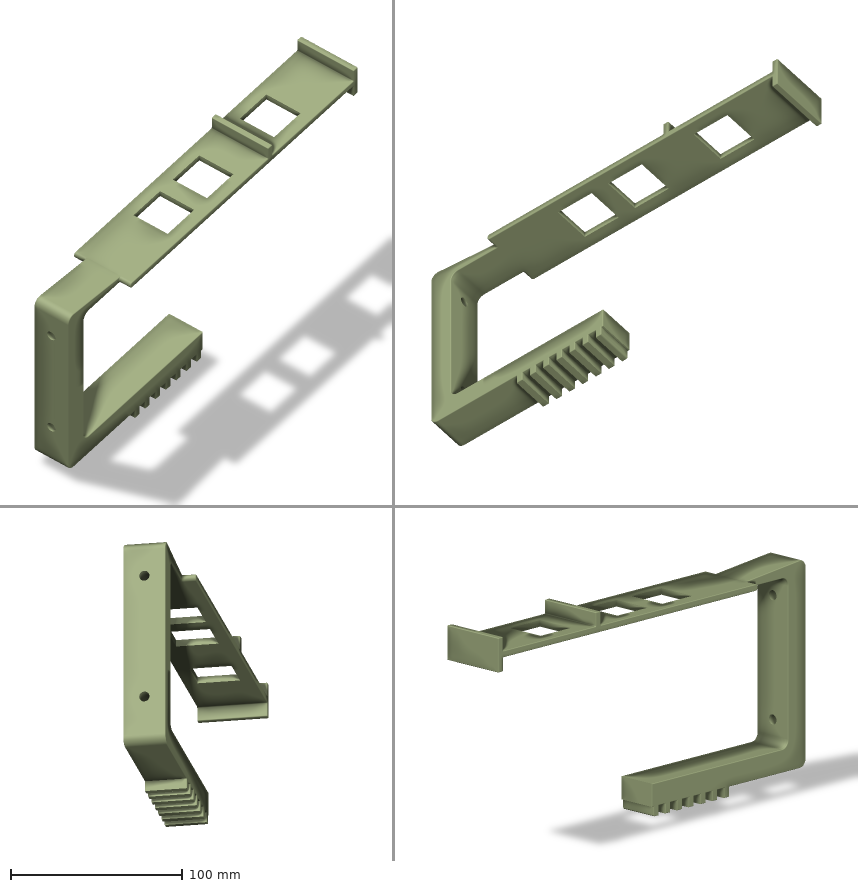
import cadquery as cq

length = 265.5
height = 136.0

strip_width = 42.0
strip_thickness = 4.0
rib_height = 8.5
strip_top = height - rib_height
strip_bottom = strip_top - strip_thickness
strip_front = 48.5
plate_thickness = 4.0
plate_height = strip_thickness + 2 * rib_height
rib_thickness = 4.0
rib_rear = 184.0
front_radius = 1.9
tab_length = 4.0
tab_end = strip_front - tab_length
neck_radius = 1.3
edge_radius = 0.5

window_size = 25.2
window_centers = (107.5, 145.0, 209.0)

bracket_width = 25.2
column_thickness = 15.0
arm_length = 128.5
arm_bottom = 6.0
arm_top = 20.2
wedge_top = 132.2
wedge_start = strip_front + front_radius
outer_radius = 5.0
inner_radius = 5.0

tooth_count = 7
tooth_width = 4.2
tooth_pitch = 9.8
first_tooth_setback = 1.3
tooth_tip_radius = 1.0

hole_diameter = 6.0
hole_heights = (35.0, 110.2)

margin = 0.3
inner_width = strip_width - 4 * edge_radius


def block(width, y_min, y_max, z_min, z_max):
    """Box centred on X = 0 between the given Y and Z limits."""
    box = cq.Workplane("XY").box(width, y_max - y_min, z_max - z_min, centered=(True, False, False))
    return box.translate((0, y_min, z_min))


def front_region(width, y_min, y_max):
    """Selector for strip edges whose centre is within the given width and Y limits."""
    low = (-width / 2, y_min, strip_bottom - edge_radius)
    high = (width / 2, y_max, strip_top + edge_radius)
    return cq.selectors.BoxSelector(low, high)


def make_strip():
    strip = block(strip_width, strip_front, length, strip_bottom, strip_top)
    strip = strip.union(block(bracket_width, tab_end, length, strip_bottom, strip_top))
    neck_corners = front_region(bracket_width + margin, strip_front - margin, strip_front + margin)
    strip = strip.edges("|Z").edges(neck_corners).fillet(neck_radius)
    front_edges = front_region(inner_width, tab_end + margin, strip_front + margin)
    strip = strip.edges("#Z").edges(front_edges).fillet(front_radius)

    end_plate = block(strip_width, length - plate_thickness, length, height - plate_height, height)
    rib = block(strip_width, rib_rear - rib_thickness, rib_rear, strip_bottom, height)
    strip = strip.union(end_plate).union(rib)

    front_seams = front_region(inner_width, tab_end - margin, wedge_start + margin)
    strip = strip.edges(cq.selectors.InverseSelector(front_seams)).fillet(edge_radius)

    for y in window_centers:
        half = window_size / 2
        strip = strip.cut(block(window_size, y - half, y + half, strip_bottom, strip_top))
    return strip


def make_bracket():
    profile = [
        (0, arm_bottom),
        (arm_length, arm_bottom),
        (arm_length, arm_top),
        (column_thickness, arm_top),
        (column_thickness, strip_bottom),
        (wedge_start, strip_bottom),
        (wedge_start, strip_top),
        (0, wedge_top),
    ]
    bracket = cq.Workplane("YZ").polyline(profile).close().extrude(bracket_width / 2, both=True)
    bracket = bracket.edges("|X and <Y").fillet(outer_radius)
    inner_corners = cq.selectors.BoxSelector(
        (-margin, column_thickness - margin, arm_top - margin),
        (margin, column_thickness + margin, strip_bottom + margin),
    )
    return bracket.edges("|X").edges(inner_corners).fillet(inner_radius)


def make_teeth():
    teeth = cq.Workplane("XY")
    for i in range(tooth_count):
        rear = arm_length - first_tooth_setback - i * tooth_pitch
        teeth = teeth.union(block(bracket_width, rear - tooth_width, rear, 0, arm_top))
    return teeth.edges("|X and >Y and <Z").fillet(tooth_tip_radius)


def make_holes():
    points = [(0, z) for z in hole_heights]
    return cq.Workplane("XZ").pushPoints(points).circle(hole_diameter / 2).extrude(-column_thickness)


bracket = make_bracket().union(make_teeth())
bracket = bracket.faces("<X or >X").edges().fillet(edge_radius)
result = make_strip().union(bracket).cut(make_holes())